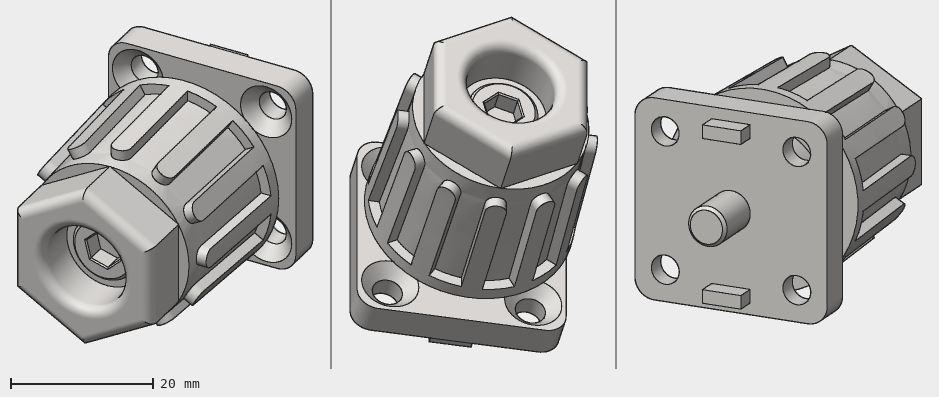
import cadquery as cq
import math

TOTAL_LENGTH = 47.95

FLANGE_SIDE = 30.0
FLANGE_THICKNESS = 5.0
FLANGE_CORNER_RADIUS = 3.0
COLLAR_DIAMETER = 20.0
COLLAR_LENGTH = 5.0
MOUNT_HOLE_DIAMETER = 4.3
MOUNT_SINK_DIAMETER = 8.2
MOUNT_SINK_ANGLE = 90.0
MOUNT_HOLE_SPACING = 20.5
TAB_WIDTH = 6.0
TAB_THICKNESS = 2.0
TAB_LENGTH = 3.0
TAB_OFFSET = 12.2

GRIP_DIAMETER = FLANGE_SIDE
GRIP_LENGTH = 22.0
GRIP_TAPER = 2.0
GRIP_RING_LENGTH = 2.0
RIB_COUNT = 12
RIB_WIDTH = 3.0
RIB_HEIGHT = 1.6
RIB_END = 20.0
HEX_ACROSS_FLATS = 22.0
HEX_LENGTH = 8.0
HEX_EDGE_RADIUS = 1.5
MOUTH_DIAMETER = 12.7
MOUTH_DEPTH = 7.0
MOUTH_EDGE_RADIUS = 1.5

SHANK_DIAMETER = 6.0
HEAD_DIAMETER = 10.0
HEAD_LENGTH = 6.0
HEAD_PROTRUSION = 1.0
SCREW_CHAMFER = 0.5
SOCKET_ACROSS_FLATS = 4.9
SOCKET_CHAMFER = 0.215
SOCKET_DEPTH = 3.0
SOCKET_TURN = -14.0

GRIP_BACK = -COLLAR_LENGTH
GRIP_FRONT = GRIP_BACK - GRIP_LENGTH
HEX_FRONT = GRIP_FRONT - HEX_LENGTH
MOUTH_FLOOR = HEX_FRONT + MOUTH_DEPTH
HEAD_FRONT = MOUTH_FLOOR - HEAD_PROTRUSION
HEAD_BACK = HEAD_FRONT + HEAD_LENGTH
SHANK_TIP = HEX_FRONT + TOTAL_LENGTH


def plane_at(y):
    """Plane square to the axis at the given Y; extrusion from it runs toward +Y."""
    return cq.Workplane(cq.Plane(origin=(0, y, 0), xDir=(-1, 0, 0), normal=(0, 1, 0)))


def cylinder(diameter, y_start, y_end):
    return plane_at(y_start).circle(diameter / 2).extrude(y_end - y_start)


def corner_diameter(across_flats):
    """Corner-to-corner size of a hexagon."""
    return across_flats / math.cos(math.radians(30))


def hexagon(across_flats, y_start, y_end):
    """Hexagonal prism with two corners on the Z direction."""
    prism = plane_at(y_start).polygon(6, corner_diameter(across_flats)).extrude(y_end - y_start)
    return prism.rotate((0, 0, 0), (0, 1, 0), 90)


def tapered_solid(back_radius):
    """Solid cone as long as the grip that narrows toward the front."""
    front_radius = back_radius - GRIP_LENGTH * math.tan(math.radians(GRIP_TAPER))
    outline = [(0, GRIP_BACK), (back_radius, GRIP_BACK), (front_radius, GRIP_FRONT), (0, GRIP_FRONT)]
    return cq.Workplane("XY").polyline(outline).close().revolve(360, (0, 0, 0), (0, 1, 0))


def mounting_holes():
    """Four countersunk through holes, open toward the front of the flange."""
    sink_depth = (MOUNT_SINK_DIAMETER - MOUNT_HOLE_DIAMETER) / 2 / math.tan(math.radians(MOUNT_SINK_ANGLE / 2))
    outline = [
        (0, 0),
        (MOUNT_SINK_DIAMETER / 2, 0),
        (MOUNT_HOLE_DIAMETER / 2, sink_depth),
        (MOUNT_HOLE_DIAMETER / 2, FLANGE_THICKNESS),
        (0, FLANGE_THICKNESS),
    ]
    cutter = cq.Workplane("XY").polyline(outline).close().revolve(360, (0, 0, 0), (0, 1, 0))
    reach = MOUNT_HOLE_SPACING / 2
    holes = cq.Workplane("XY")
    for x in (-reach, reach):
        for z in (-reach, reach):
            holes = holes.add(cutter.translate((x, 0, z)))
    return holes.combine()


def locating_tabs():
    centers = [(0, -TAB_OFFSET), (0, TAB_OFFSET)]
    return plane_at(FLANGE_THICKNESS).pushPoints(centers).rect(TAB_WIDTH, TAB_THICKNESS).extrude(TAB_LENGTH)


def make_flange_body():
    plate = plane_at(0).rect(FLANGE_SIDE, FLANGE_SIDE).extrude(FLANGE_THICKNESS)
    plate = plate.edges("|Y").fillet(FLANGE_CORNER_RADIUS)
    plate = plate.cut(mounting_holes())
    body = plate.union(cylinder(COLLAR_DIAMETER, GRIP_BACK, 0)).union(locating_tabs())
    return body.cut(cylinder(SHANK_DIAMETER, GRIP_BACK, FLANGE_THICKNESS))


def grip_rib(angle):
    """Round-ended straight bar, long enough outward to be trimmed by the grip cone."""
    half_width = RIB_WIDTH / 2
    tip = GRIP_BACK - RIB_END
    bar = (
        cq.Workplane("XY")
        .moveTo(-half_width, GRIP_BACK)
        .lineTo(-half_width, tip + half_width)
        .threePointArc((0, tip), (half_width, tip + half_width))
        .lineTo(half_width, GRIP_BACK)
        .close()
        .extrude(GRIP_DIAMETER)
    )
    return bar.rotate((0, 0, 0), (0, 1, 0), angle)


def make_grip():
    """Tapered core with a raised back ring and straight ribs, all trimmed to one outer cone."""
    raised = cylinder(GRIP_DIAMETER, GRIP_BACK - GRIP_RING_LENGTH, GRIP_BACK)
    for index in range(RIB_COUNT):
        raised = raised.union(grip_rib(index * 360 / RIB_COUNT))
    raised = raised.intersect(tapered_solid(GRIP_DIAMETER / 2))
    return tapered_solid(GRIP_DIAMETER / 2 - RIB_HEIGHT).union(raised)


def make_nut():
    """Grip and hexagon in one piece, bored for the screw head and shank."""
    hex_end = hexagon(HEX_ACROSS_FLATS, HEX_FRONT, GRIP_FRONT).faces("<Y").edges().fillet(HEX_EDGE_RADIUS)
    hex_end = hex_end.cut(cylinder(MOUTH_DIAMETER, HEX_FRONT, MOUTH_FLOOR))
    hex_end = hex_end.faces("<Y").edges("%CIRCLE").fillet(MOUTH_EDGE_RADIUS)
    nut = make_grip().union(hex_end)
    nut = nut.cut(cylinder(HEAD_DIAMETER, MOUTH_FLOOR, HEAD_BACK))
    return nut.cut(cylinder(SHANK_DIAMETER, HEAD_BACK, GRIP_BACK))


def screw_socket():
    """Hexagonal recess with a small bevel around its mouth."""
    recess = hexagon(SOCKET_ACROSS_FLATS, HEAD_FRONT, HEAD_FRONT + SOCKET_DEPTH)
    mouth_across_flats = SOCKET_ACROSS_FLATS + 2 * SOCKET_CHAMFER
    bevel = (
        plane_at(HEAD_FRONT)
        .polygon(6, corner_diameter(mouth_across_flats))
        .workplane(offset=SOCKET_CHAMFER)
        .polygon(6, corner_diameter(SOCKET_ACROSS_FLATS))
        .loft(ruled=True)
        .rotate((0, 0, 0), (0, 1, 0), 90)
    )
    return recess.union(bevel).rotate((0, 0, 0), (0, 1, 0), SOCKET_TURN)


def make_screw():
    head = cylinder(HEAD_DIAMETER, HEAD_FRONT, HEAD_BACK).faces("<Y").chamfer(SCREW_CHAMFER)
    shank = cylinder(SHANK_DIAMETER, HEAD_BACK, SHANK_TIP).faces(">Y").chamfer(SCREW_CHAMFER)
    return head.union(shank).cut(screw_socket())


flange_body = make_flange_body()
nut = make_nut()
screw = make_screw()

result = cq.Compound.makeCompound([flange_body.val(), nut.val(), screw.val()])